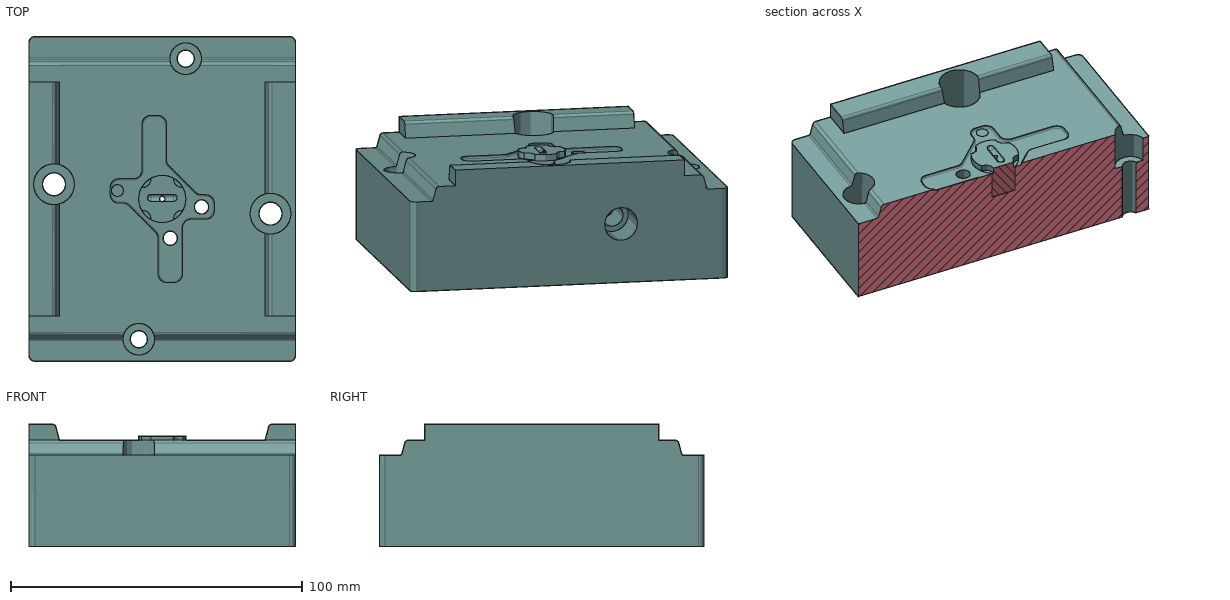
import cadquery as cq
import math

BLOCK_X = 91.6
BLOCK_Y = 111.6
CORNER_RADIUS = 2.0
TOTAL_HEIGHT = 42.1
PLATEAU_Z = 36.6
LEDGE_Z = 31.5
FLANK_ANGLE = 15.0
EDGE_RADIUS = 1.2
FOOT_RADIUS = 0.6
PLATEAU_FOOT_Y = 48.2
RAIL_FOOT_X = 35.3
RAIL_LENGTH = 80.5

END_SCREW = (8.05, 48.2)
SIDE_SCREW = (37.2, -5.05)
END_BORE = 5.8
END_COUNTERBORE = 10.85
SIDE_BORE = 7.8
SIDE_COUNTERBORE = 14.0
COUNTERBORE_FLOOR_Z = 22.0

PORT_Y = -18.0
PORT_Z = 20.6
PORT_DIAMETER = 11.45
PORT_DEPTH = 15.0
CHANNEL_DIAMETER = 7.8
CHANNEL_DEPTH = 30.0

RECESS_DEPTH = 0.8
RECESS_FLOOR_RADIUS = 0.4
ARM_WIDTH = 8.4
ARM_OFFSET = 2.75
LONG_ARM_REACH = 28.7
SHORT_ARM_REACH = 17.9
WEB_INTERCEPT = 13.7
RECESS_CORNER_RADIUS = 3.0

EJECTOR_DIAMETER = 4.8
EJECTOR_CENTRES = [(ARM_OFFSET, -13.5), (13.5, -ARM_OFFSET)]
PIN_DIAMETER = 4.1
PIN_X = -15.4
PIN_Y = 2.9
PIN_LENGTH = 20.0

DISC_DIAMETER = 16.2
DISC_TOP_Z = 38.0
DISC_SEAT_DEPTH = 10.0
NOTCH_DIAMETER = 6.0
NOTCH_CENTRE_RADIUS = 9.75
NOTCH_COUNT = 4
RUNNER_LENGTH = 10.2
RUNNER_WIDTH = 2.4
RUNNER_Y = 0.4
SPRUE_DIAMETER = 1.8

RECESS_FLOOR_Z = PLATEAU_Z - RECESS_DEPTH
DISC_BOTTOM_Z = RECESS_FLOOR_Z - DISC_SEAT_DEPTH
TAN_FLANK = math.tan(math.radians(FLANK_ANGLE))
PLATEAU_TOP_Y = PLATEAU_FOOT_Y - (PLATEAU_Z - LEDGE_Z) * TAN_FLANK
RAIL_TOP_X = RAIL_FOOT_X + (TOTAL_HEIGHT - PLATEAU_Z) * TAN_FLANK


def vertical_cylinder(x, y, diameter, z_low, z_high):
    base = cq.Workplane("XY", origin=(x, y, z_low))
    return base.circle(diameter / 2).extrude(z_high - z_low)


def end_step(side):
    """Material removed above one end ledge, leaving a leaning flank on the plateau."""
    return (
        cq.Workplane("YZ")
        .polyline([
            (side * PLATEAU_FOOT_Y, LEDGE_Z),
            (side * BLOCK_Y, LEDGE_Z),
            (side * BLOCK_Y, PLATEAU_Z),
            (side * PLATEAU_TOP_Y, PLATEAU_Z),
        ])
        .close()
        .extrude(BLOCK_X / 2, both=True)
    )


def plateau():
    """Block up to the parting face, stepped down to a ledge at both Y ends."""
    body = cq.Workplane("XY").box(BLOCK_X, BLOCK_Y, PLATEAU_Z, centered=(True, True, False))
    body = body.edges("|Z").fillet(CORNER_RADIUS)
    for side in (-1, 1):
        body = body.cut(end_step(side))
        top_edge = cq.selectors.NearestToPointSelector((0, side * PLATEAU_TOP_Y, PLATEAU_Z))
        body = body.edges(top_edge).fillet(EDGE_RADIUS)
        foot_edge = cq.selectors.NearestToPointSelector((0, side * PLATEAU_FOOT_Y, LEDGE_Z))
        body = body.edges(foot_edge).fillet(FOOT_RADIUS)
    return body


def rail(side):
    """Raised rail along one X side, with a leaning, rounded inner flank."""
    bar = (
        cq.Workplane("XZ")
        .polyline([
            (side * RAIL_FOOT_X, PLATEAU_Z),
            (side * BLOCK_X / 2, PLATEAU_Z),
            (side * BLOCK_X / 2, TOTAL_HEIGHT),
            (side * RAIL_TOP_X, TOTAL_HEIGHT),
        ])
        .close()
        .extrude(RAIL_LENGTH / 2, both=True)
    )
    top_edge = cq.selectors.NearestToPointSelector((side * RAIL_TOP_X, 0, TOTAL_HEIGHT))
    return bar.edges(top_edge).fillet(EDGE_RADIUS)


def recess_bar(x_low, x_high, y_low, y_high):
    """Rectangular bar as deep as the recess."""
    bar = cq.Workplane("XY").box(x_high - x_low, y_high - y_low, RECESS_DEPTH, centered=False)
    return bar.translate((x_low, y_low, RECESS_FLOOR_Z))


def half_cross():
    """The +Y long arm, the +X short arm and the diagonal web that joins them."""
    near_side = ARM_WIDTH / 2 - ARM_OFFSET
    far_side = ARM_WIDTH / 2 + ARM_OFFSET
    long_arm = recess_bar(-far_side, near_side, 0, LONG_ARM_REACH)
    short_arm = recess_bar(0, SHORT_ARM_REACH, -far_side, near_side)
    web_far = WEB_INTERCEPT - near_side
    web = (
        cq.Workplane("XY", origin=(0, 0, RECESS_FLOOR_Z))
        .polyline([
            (-near_side, near_side),
            (near_side, web_far),
            (web_far, near_side),
            (near_side, -near_side),
        ])
        .close()
        .extrude(RECESS_DEPTH)
    )
    return long_arm.union(short_arm).union(web)


def cross_recess():
    """Pinwheel of two long and two short arms, the same after half a turn about Z."""
    half = half_cross()
    recess = half.union(half.rotate((0, 0, 0), (0, 0, 1), 180)).clean()
    recess = recess.edges("|Z").fillet(RECESS_CORNER_RADIUS)
    return recess.faces("<Z").edges().fillet(RECESS_FLOOR_RADIUS)


def screw_hole(x, y, bore, counterbore):
    hole = vertical_cylinder(x, y, bore, 0, TOTAL_HEIGHT)
    return hole.union(vertical_cylinder(x, y, counterbore, COUNTERBORE_FLOOR_Z, TOTAL_HEIGHT))


def coolant_port():
    start = cq.Workplane("YZ", origin=(-BLOCK_X / 2, PORT_Y, PORT_Z))
    port = start.circle(PORT_DIAMETER / 2).extrude(PORT_DEPTH)
    return port.union(start.circle(CHANNEL_DIAMETER / 2).extrude(CHANNEL_DEPTH))


def disc_blank():
    """Plain disc, which also shapes its seat in the block."""
    return vertical_cylinder(0, 0, DISC_DIAMETER, DISC_BOTTOM_Z, DISC_TOP_Z)


def make_pin():
    """Blind pin, flush with the recess floor."""
    return vertical_cylinder(PIN_X, PIN_Y, PIN_DIAMETER, RECESS_FLOOR_Z - PIN_LENGTH, RECESS_FLOOR_Z)


def make_block():
    """Mould block with its rails, recess, holes and the seats of the disc and pin."""
    block = plateau()
    for side in (-1, 1):
        block = block.union(rail(side))
    block = block.cut(cross_recess())
    for side in (-1, 1):
        end_x, end_y = END_SCREW
        block = block.cut(screw_hole(side * end_x, side * end_y, END_BORE, END_COUNTERBORE))
        side_x, side_y = SIDE_SCREW
        block = block.cut(screw_hole(side * side_x, side * side_y, SIDE_BORE, SIDE_COUNTERBORE))
    for x, y in EJECTOR_CENTRES:
        block = block.cut(vertical_cylinder(x, y, EJECTOR_DIAMETER, 0, PLATEAU_Z))
    block = block.cut(coolant_port())
    block = block.cut(vertical_cylinder(0, 0, SPRUE_DIAMETER, 0, PLATEAU_Z))
    return block.cut(disc_blank()).cut(make_pin())


def make_disc():
    """Disc with edge notches, a half-round runner in its top and a sprue hole."""
    disc = disc_blank()
    for i in range(NOTCH_COUNT):
        angle = (i + 0.5) * 2 * math.pi / NOTCH_COUNT
        x = NOTCH_CENTRE_RADIUS * math.cos(angle)
        y = NOTCH_CENTRE_RADIUS * math.sin(angle)
        disc = disc.cut(vertical_cylinder(x, y, NOTCH_DIAMETER, RECESS_FLOOR_Z, DISC_TOP_Z))
    runner_straight_half = (RUNNER_LENGTH - RUNNER_WIDTH) / 2
    runner = cq.Workplane("YZ", origin=(0, RUNNER_Y, DISC_TOP_Z))
    runner = runner.circle(RUNNER_WIDTH / 2).extrude(runner_straight_half, both=True)
    for side in (-1, 1):
        ball = cq.Workplane("XY", origin=(side * runner_straight_half, RUNNER_Y, DISC_TOP_Z))
        runner = runner.union(ball.sphere(RUNNER_WIDTH / 2))
    return disc.cut(runner).cut(vertical_cylinder(0, 0, SPRUE_DIAMETER, DISC_BOTTOM_Z, DISC_TOP_Z))


block = make_block()
disc = make_disc()
pin = make_pin()
result = cq.Compound.makeCompound([block.val(), disc.val(), pin.val()])